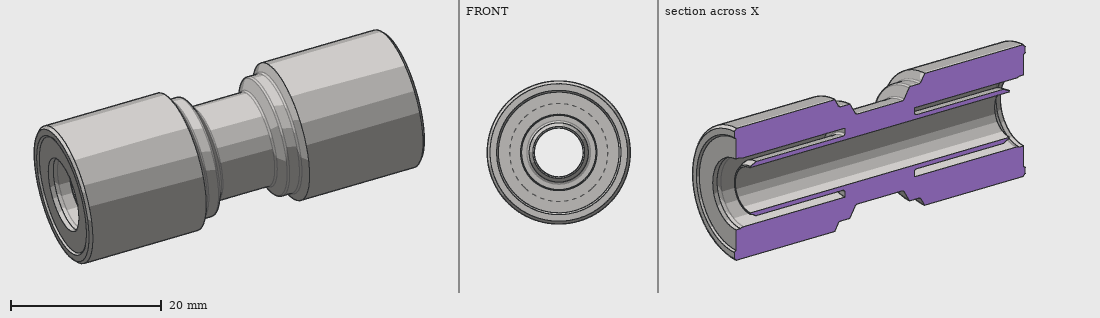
import cadquery as cq
import math

half_length = 48.5 / 2

body_radius = 19.0 / 2
collar_radius = 16.5 / 2
neck_radius = 13.0 / 2
rim_chamfer = 0.4
shoulder_y = 7.45
collar_end_y = 4.95
step_angle = 30
step_fillet = 0.35

recess_rim_radius = 16.5 / 2
recess_floor_radius = 16 / 2
recess_depth = 0.3
recess_y = half_length - recess_depth

mouth_radius = 10.15 / 2
mouth_depth = 0.75
socket_radius = 9.85 / 2
lead_in_length = 0.55
mouth_end_y = recess_y - mouth_depth
socket_start_y = mouth_end_y - lead_in_length
socket_floor_y = 5.8

bore_radius = 6.45 / 2
sleeve_radius = 7.85 / 2
sleeve_tip_radius = 6.9 / 2
sleeve_tip_gap = 2.4
sleeve_taper_length = 0.95
sleeve_root_fillet = 0.3
sleeve_tip_y = recess_y - sleeve_tip_gap


def cone_drop(outer_radius, inner_radius):
    """Axial length of a step cone between two radii."""
    return (outer_radius - inner_radius) * math.tan(math.radians(step_angle))


def lead_in_midpoint():
    """Middle of the lead-in arc, which meets the socket wall tangentially."""
    step = mouth_radius - socket_radius
    arc_radius = (step**2 + lead_in_length**2) / (2 * step)
    half_sweep = math.asin(lead_in_length / arc_radius) / 2
    radius = socket_radius + arc_radius * (1 - math.cos(half_sweep))
    return radius, socket_start_y + arc_radius * math.sin(half_sweep)


def make_half_body():
    """Solid outer shape of the +Y half, with rounded steps."""
    collar_start_y = shoulder_y - cone_drop(body_radius, collar_radius)
    neck_end_y = collar_end_y - cone_drop(collar_radius, neck_radius)
    outline = [
        (0, 0),
        (neck_radius, 0),
        (neck_radius, neck_end_y),
        (collar_radius, collar_end_y),
        (collar_radius, collar_start_y),
        (body_radius, shoulder_y),
        (body_radius, half_length - rim_chamfer),
        (body_radius - rim_chamfer, half_length),
        (0, half_length),
    ]
    body = cq.Workplane("XY").polyline(outline).close().revolve(360, (0, 0, 0), (0, 1, 0))
    for radius, y in [
        (neck_radius, neck_end_y),
        (collar_radius, collar_end_y),
        (collar_radius, collar_start_y),
    ]:
        edge_zone = cq.selectors.BoxSelector(
            (-radius, y - step_fillet, -radius),
            (radius, y + step_fillet, radius),
        )
        body = body.edges("%CIRCLE").edges(edge_zone).fillet(step_fillet)
    return body


def make_half_cavity():
    """Recess, mouth, socket and bore of the +Y half, leaving the sleeve standing."""
    fillet_mid = sleeve_root_fillet * (1 - math.sqrt(0.5))
    cavity = (
        cq.Workplane("XY")
        .moveTo(0, 0)
        .lineTo(bore_radius, 0)
        .lineTo(bore_radius, sleeve_tip_y)
        .lineTo(sleeve_tip_radius, sleeve_tip_y)
        .lineTo(sleeve_radius, sleeve_tip_y - sleeve_taper_length)
        .lineTo(sleeve_radius, socket_floor_y + sleeve_root_fillet)
        .threePointArc(
            (sleeve_radius + fillet_mid, socket_floor_y + fillet_mid),
            (sleeve_radius + sleeve_root_fillet, socket_floor_y),
        )
        .lineTo(socket_radius, socket_floor_y)
        .lineTo(socket_radius, socket_start_y)
        .threePointArc(lead_in_midpoint(), (mouth_radius, mouth_end_y))
        .lineTo(mouth_radius, recess_y)
        .lineTo(recess_floor_radius, recess_y)
        .lineTo(recess_rim_radius, half_length)
        .lineTo(0, half_length)
        .close()
    )
    return cavity.revolve(360, (0, 0, 0), (0, 1, 0))


half = make_half_body().cut(make_half_cavity())
result = half.union(half.rotate((0, 0, 0), (0, 0, 1), 180), clean=True)